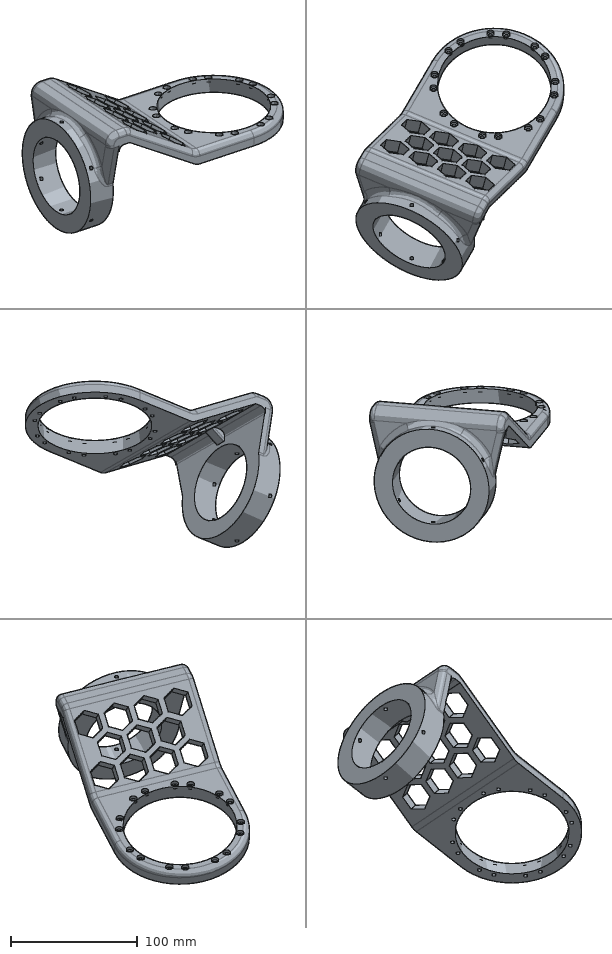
import cadquery as cq
import math

length = 207.0
width = 110.0
half_width = width / 2
plate = 12.0
wall = 10.0
edge_radius = 5.0
bend_radius = 10.0
inner_corner_radius = 5.0

ring_radius = 47.0
ring_bore_radius = 31.9
ring_depth = 22.0
screw_radius = 1.5
screw_y = 5.0
screw_count = 6

top_z = 56.0
rise = 40.0
crest_y = 32.0
foot_y = 97.0
top_under_z = top_z - plate
seat_z = top_z - rise
seat_under_z = seat_z - plate
wall_front_y = ring_depth - wall
slope_angle = math.degrees(math.atan2(rise, foot_y - crest_y))

taper_end_z = 6.0
taper_end_half_width = 46.4
wall_end_z = 0.0
taper_rate = (half_width - taper_end_half_width) / (top_under_z - taper_end_z)
wall_end_half_width = taper_end_half_width - taper_rate * (taper_end_z - wall_end_z)

seat_y = length - half_width
seat_bore_radius = 45.0
bolt_circle_radius = 48.2
bolt_radius = 1.5
bolt_head_radius = 3.0
bolt_head_depth = 3.0
bolt_angles = (15, 30, 60, 75)

hex_across_flats = 20.0
hex_pitch = 25.0
hex_row_pitch = hex_pitch * math.sqrt(3) / 2
hex_rows = (4, 3, 4)
hex_shift_x = 1.5
hex_shift_up_slope = 1.0

gusset_thickness = 10.0
gusset_start_y = crest_y + 2.0
gusset_edge_radius = 1.2


def strap_profile():
    """Side outline in the YZ plane with sharp corners, extruded over the full width."""
    outline = [
        (length, seat_under_z),
        (length, seat_z),
        (foot_y, seat_z),
        (crest_y, top_z),
        (wall_front_y, top_z),
        (wall_front_y, wall_end_z),
        (ring_depth, wall_end_z),
        (ring_depth, top_under_z),
        (crest_y, top_under_z),
        (foot_y, seat_under_z),
    ]
    return cq.Workplane("YZ").polyline(outline).close().extrude(half_width, both=True)


def edge_along_x_at(y, z):
    """Selector for the straight edge along X that passes through (y, z)."""
    tolerance = 0.2
    return cq.selectors.BoxSelector(
        (-half_width, y - tolerance, z - tolerance),
        (half_width, y + tolerance, z + tolerance),
    )


def make_strap():
    body = strap_profile()
    for y, z in (
        (foot_y, seat_z),
        (foot_y, seat_under_z),
        (crest_y, top_z),
        (wall_front_y, top_z),
    ):
        body = body.edges(edge_along_x_at(y, z)).fillet(bend_radius)
    body = body.edges(edge_along_x_at(ring_depth, top_under_z)).fillet(inner_corner_radius)

    plan = (
        cq.Workplane("XY", origin=(0, 0, wall_end_z))
        .moveTo(-half_width, 0)
        .lineTo(-half_width, seat_y)
        .threePointArc((0, length), (half_width, seat_y))
        .lineTo(half_width, 0)
        .close()
        .extrude(top_z)
    )
    body = body.intersect(plan)

    for side in (-1, 1):
        taper_cut = (
            cq.Workplane("XZ")
            .polyline([
                (side * half_width, top_under_z),
                (side * width, top_under_z),
                (side * width, wall_end_z),
                (side * wall_end_half_width, wall_end_z),
            ])
            .close()
            .extrude(-ring_depth)
        )
        body = body.cut(taper_cut)
    return body


def middle_z(y):
    """Height of the mid-thickness line of the strap, behind the upright wall."""
    climb = (foot_y - y) / (foot_y - crest_y)
    return seat_z - plate / 2 + rise * min(max(climb, 0), 1)


def is_outer_rim(edge):
    """True for the edges along the sides and round end of the outer skin."""
    runs_across = edge.geomType() == "LINE" and abs(edge.tangentAt(0).x) > 0.99
    center = edge.Center()
    on_wall_front = abs(center.y - wall_front_y) < 0.2
    on_upper_skin = center.z > middle_z(center.y) + 2
    return not runs_across and (on_wall_front or on_upper_skin)


def make_ring():
    return cq.Workplane("XZ").circle(ring_radius).extrude(-ring_depth)


def is_ring_root(edge):
    """True for the arcs where the ring leaves the front of the upright wall."""
    if edge.geomType() != "CIRCLE":
        return False
    on_wall_front = abs(edge.Center().y - wall_front_y) < 0.2
    return on_wall_front and abs(edge.radius() - ring_radius) < 0.1


def make_gusset():
    """Central rib whose lower edge falls from the crest to the wall at the strap slope."""
    slope = rise / (foot_y - crest_y)
    wall_middle_y = ring_depth - wall / 2
    start_z = top_under_z - slope * (gusset_start_y - crest_y)
    end_z = start_z - slope * (gusset_start_y - wall_middle_y)
    rib = (
        cq.Workplane("YZ")
        .polyline([
            (gusset_start_y, start_z),
            (gusset_start_y, top_under_z),
            (crest_y, top_under_z + plate / 2),
            (wall_middle_y, top_under_z + plate / 2),
            (wall_middle_y, end_z),
        ])
        .close()
        .extrude(gusset_thickness / 2, both=True)
    )
    lower_edges = cq.selectors.ParallelDirSelector(cq.Vector(0, 1, slope))
    return rib.edges(lower_edges).fillet(gusset_edge_radius)


def make_honeycomb():
    """Hexagonal prisms square to the sloping plate, with corners pointing up the slope."""
    middle_y = (crest_y + foot_y) / 2
    middle = cq.Workplane("XY").transformed(
        offset=(hex_shift_x, middle_y, middle_z(middle_y)),
        rotate=(-slope_angle, 0, 0),
    )
    centers = []
    for row, count in enumerate(hex_rows):
        row_y = (row - (len(hex_rows) - 1) / 2) * hex_row_pitch - hex_shift_up_slope
        for column in range(count):
            centers.append(((column - (count - 1) / 2) * hex_pitch, row_y))
    across_corners = hex_across_flats / math.cos(math.pi / 6)
    window = cq.Sketch().regularPolygon(across_corners / 2, 6)
    return middle.pushPoints(centers).placeSketch(window).extrude(plate, both=True)


def make_seat_holes():
    """Large bore of the seat with the ring of counterbored holes around it."""
    def seat_plane(z):
        return cq.Workplane("XY", origin=(0, seat_y, z))

    points = []
    for quarter in range(4):
        for angle in bolt_angles:
            turn = math.radians(quarter * 90 + angle)
            points.append((bolt_circle_radius * math.cos(turn), bolt_circle_radius * math.sin(turn)))

    bore = seat_plane(seat_under_z).circle(seat_bore_radius).extrude(plate)
    shanks = seat_plane(seat_under_z).pushPoints(points).circle(bolt_radius).extrude(plate)
    head_floor = seat_plane(seat_z - bolt_head_depth)
    heads = head_floor.pushPoints(points).circle(bolt_head_radius).extrude(bolt_head_depth)
    return bore.union(shanks).union(heads)


def cut_ring_holes(body):
    bore = cq.Workplane("XZ").circle(ring_bore_radius).extrude(-ring_depth)
    body = body.cut(bore)
    screw = cq.Workplane("XY", origin=(0, screw_y, 0)).circle(screw_radius).extrude(ring_radius + 2)
    for index in range(screw_count):
        body = body.cut(screw.rotate((0, 0, 0), (0, 1, 0), index * 360 / screw_count))
    return body


strap = make_strap()
strap = strap.edges().filter(is_outer_rim).fillet(edge_radius)
body = strap.union(make_ring())
body = body.edges().filter(is_ring_root).fillet(edge_radius)
body = body.cut(make_honeycomb())
body = body.union(make_gusset())
body = body.cut(make_seat_holes())
result = cut_ring_holes(body)